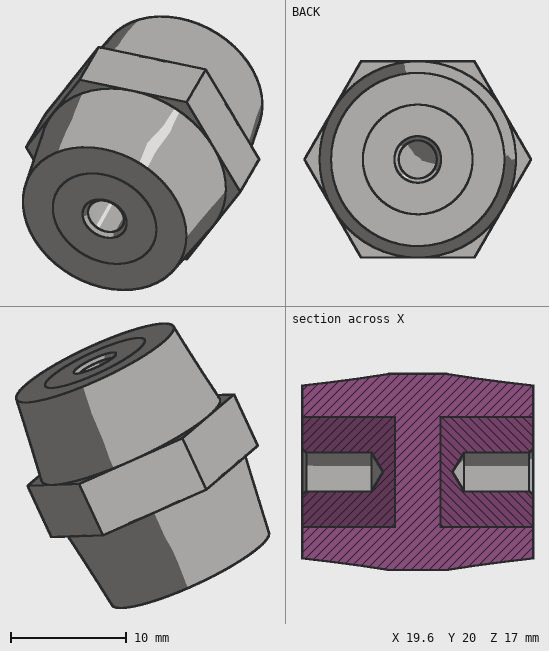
import cadquery as cq
import math


LENGTH = 20.0
HEX_ACROSS_FLATS = 17.0
HEX_SIDES = 6
HEX_LENGTH = 5.0
CONE_ROOT_DIAMETER = HEX_ACROSS_FLATS
CONE_END_DIAMETER = 15.0

INSERT_DIAMETER = 9.5
INSERT_LENGTH = 8.0
BORE_DIAMETER = 3.3
BORE_DEPTH = 6.0
BORE_MOUTH_DIAMETER = 4.05
MOUTH_CHAMFER_DEPTH = (BORE_MOUTH_DIAMETER - BORE_DIAMETER) / 2
DRILL_POINT_ANGLE = 118.0

HALF_LENGTH = LENGTH / 2
HALF_HEX = HEX_LENGTH / 2
INSERT_INNER_END = HALF_LENGTH - INSERT_LENGTH


def revolve_about_y(profile):
    """Turn a list of (radius, y) points into a solid of revolution about the Y axis."""
    return cq.Workplane("XY").polyline(profile).close().revolve(360, (0, 0, 0), (0, 1, 0))


def make_hex_collar():
    """Hexagon with flats at top and bottom and corners on the X axis."""
    across_corners = HEX_ACROSS_FLATS / math.cos(math.pi / HEX_SIDES)
    return cq.Workplane("XZ").polygon(HEX_SIDES, across_corners).extrude(HALF_HEX, both=True)


def make_tapered_core():
    """Two cones that narrow from the collar to the ends of the body."""
    root_radius = CONE_ROOT_DIAMETER / 2
    end_radius = CONE_END_DIAMETER / 2
    return revolve_about_y([
        (0, -HALF_LENGTH),
        (end_radius, -HALF_LENGTH),
        (root_radius, -HALF_HEX),
        (root_radius, HALF_HEX),
        (end_radius, HALF_LENGTH),
        (0, HALF_LENGTH),
    ])


def make_insert_pocket(end):
    """Cylinder that fills the insert's place; end is +1 or -1 along Y."""
    radius = INSERT_DIAMETER / 2
    return revolve_about_y([
        (0, end * INSERT_INNER_END),
        (radius, end * INSERT_INNER_END),
        (radius, end * HALF_LENGTH),
        (0, end * HALF_LENGTH),
    ])


def make_body():
    body = make_hex_collar().union(make_tapered_core())
    for end in (-1, 1):
        body = body.cut(make_insert_pocket(end))
    return body


def make_insert(end):
    """Plain round insert with a chamfered blind bore that ends in a drill point."""
    outer_radius = INSERT_DIAMETER / 2
    bore_radius = BORE_DIAMETER / 2
    mouth_radius = BORE_MOUTH_DIAMETER / 2
    bore_floor = HALF_LENGTH - BORE_DEPTH
    point_length = bore_radius / math.tan(math.radians(DRILL_POINT_ANGLE / 2))
    return revolve_about_y([
        (0, end * INSERT_INNER_END),
        (outer_radius, end * INSERT_INNER_END),
        (outer_radius, end * HALF_LENGTH),
        (mouth_radius, end * HALF_LENGTH),
        (bore_radius, end * (HALF_LENGTH - MOUTH_CHAMFER_DEPTH)),
        (bore_radius, end * bore_floor),
        (0, end * (bore_floor - point_length)),
    ])


body = make_body()
inserts = [make_insert(end) for end in (-1, 1)]

result = cq.Compound.makeCompound([body.val(), *[insert.val() for insert in inserts]])